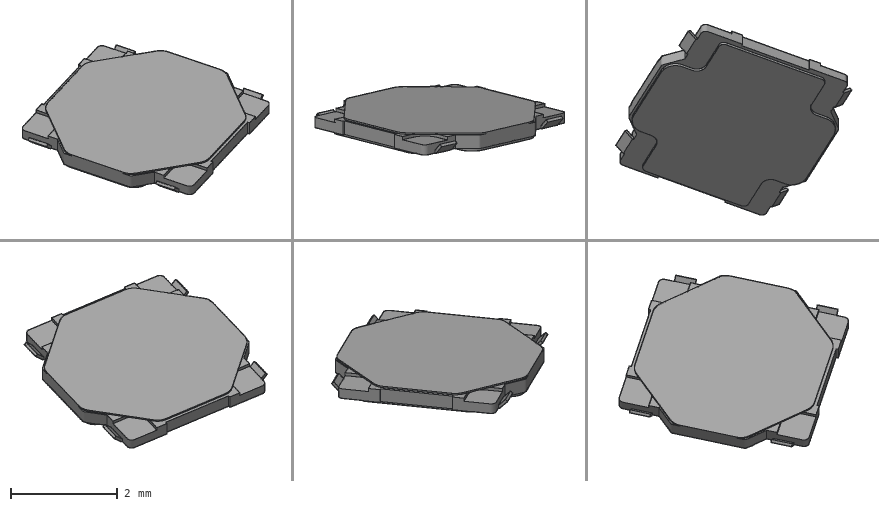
import cadquery as cq
import math

base_thickness = 0.06
pocket_floor_z = 0.26
pocket_depth = 0.063
total_height = 0.35
cap_bottom_z = pocket_floor_z + pocket_depth

body_half_x = 1.81
body_half_y = 1.85
body_cut_line = 2.57
body_corner_radius = 0.06

cap_half_x = 1.75
cap_half_y = body_half_y
cap_cut_line = 2.53
cap_corner_radius = 0.3

block_half_x = 1.85
block_half_y = 1.525
block_inner = 0.7
block_corner_radius = 0.1
pocket_side = 0.6
pocket_corner_radius = 0.3

base_half_x = cap_half_x
base_half_y = 1.802
base_arm_half_x = 0.9
base_arm_half_y = 1.1
base_arm_tip_radius = 0.3
base_inner_radius = 0.2
base_side_tip_radius = 0.1

tab_width = 0.4
tab_center_x = 1.38
tab_tip_y = 1.665
tab_thickness = 0.06

quadrants = [(sx, sy) for sx in (-1, 1) for sy in (-1, 1)]


def upright_box(x_min, x_max, y_min, y_max, z_min, z_max):
    """Box between the given limits."""
    size = (x_max - x_min, y_max - y_min, z_max - z_min)
    return cq.Workplane("XY").box(*size, centered=False).translate((x_min, y_min, z_min))


def octagon_plate(half_x, half_y, cut_line, corner_radius, z_min, z_max):
    """Rectangle with 45 degree corner cuts and rounded vertical edges."""
    flat_x = cut_line - half_y
    flat_y = cut_line - half_x
    outline = [
        (flat_x, half_y), (half_x, flat_y), (half_x, -flat_y), (flat_x, -half_y),
        (-flat_x, -half_y), (-half_x, -flat_y), (-half_x, flat_y), (-flat_x, half_y),
    ]
    plate = cq.Workplane("XY").workplane(offset=z_min).polyline(outline).close()
    return plate.extrude(z_max - z_min).edges("|Z").fillet(corner_radius)


def in_quadrant(shape, sx, sy):
    """Mirror a shape made in the +X +Y quadrant into the quadrant with the given signs."""
    if sx < 0:
        shape = shape.mirror("YZ")
    if sy < 0:
        shape = shape.mirror("XZ")
    return shape


def base_plate():
    """Cross of two rectangles with rounded tips and rounded inner corners."""
    arm_y = upright_box(-base_arm_half_x, base_arm_half_x, -base_half_y, base_half_y, 0, base_thickness)
    arm_x = upright_box(-base_half_x, base_half_x, -base_arm_half_y, base_arm_half_y, 0, base_thickness)
    arm_y = arm_y.edges("|Z").fillet(base_arm_tip_radius)
    arm_x = arm_x.edges("|Z").fillet(base_side_tip_radius)
    margin = 0.037
    inner_corners = cq.selectors.BoxSelector(
        (-base_arm_half_x - margin, -base_arm_half_y - margin, -margin),
        (base_arm_half_x + margin, base_arm_half_y + margin, base_thickness + margin),
    )
    return arm_y.union(arm_x).edges("|Z").edges(inner_corners).fillet(base_inner_radius)


def corner_block():
    """Block that fills the corner outside the octagon, rounded at its outer edge."""
    block = upright_box(
        block_inner, block_half_x, block_inner, block_half_y, base_thickness, cap_bottom_z
    )
    return block.edges("|Z and >X and >Y").fillet(block_corner_radius)


def corner_pocket():
    """Recess in the top of a corner block, running in under the cap."""
    pocket = upright_box(
        block_half_x - pocket_side, block_half_x,
        block_half_y - pocket_side, block_half_y,
        pocket_floor_z, cap_bottom_z,
    )
    return pocket.edges("|Z and <X and <Y").fillet(pocket_corner_radius)


def terminal_tab():
    """Strip sloping up and out of the block side, square at its tip and flat at its foot."""
    tip_z = pocket_floor_z
    tip_step = tab_thickness / math.sqrt(2)
    rise = tip_z - base_thickness
    heel_y = tab_tip_y - rise
    foot_y = heel_y + 2 * tip_step
    profile = [
        (heel_y, base_thickness),
        (foot_y, base_thickness),
        (tab_tip_y + tip_step, tip_z - tip_step),
        (tab_tip_y, tip_z),
    ]
    tab = cq.Workplane("YZ").polyline(profile).close().extrude(tab_width / 2, both=True)
    return tab.translate((tab_center_x, 0, 0))


result = octagon_plate(
    body_half_x, body_half_y, body_cut_line, body_corner_radius, base_thickness, cap_bottom_z
)
for sx, sy in quadrants:
    result = result.union(in_quadrant(corner_block(), sx, sy))

for sx, sy in quadrants:
    result = result.cut(in_quadrant(corner_pocket(), sx, sy))

for sx, sy in quadrants:
    result = result.union(in_quadrant(terminal_tab(), sx, sy))

cap = octagon_plate(
    cap_half_x, cap_half_y, cap_cut_line, cap_corner_radius, cap_bottom_z, total_height
)
result = result.union(cap).union(base_plate())